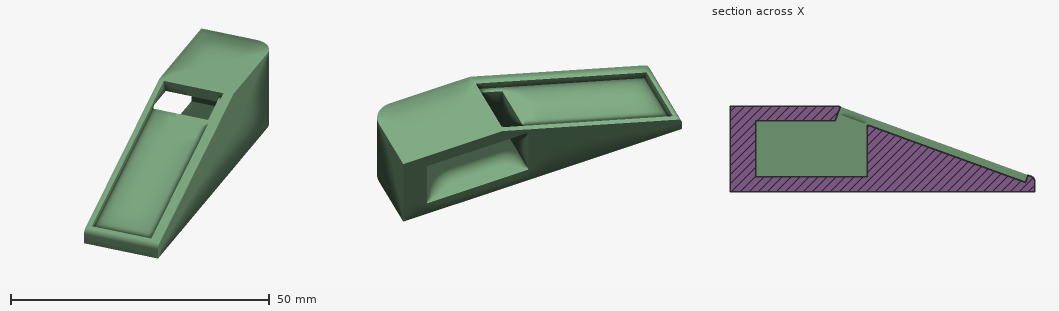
import cadquery as cq
import math

width = 15.5
length = 59.0
height = 16.6
slope_angle = 20.0
slope_top_y = 37.95
nose_radius = 1.3
back_corner_radius = 4.0

pocket_front_y = 32.45
pocket_back_y = 54.0
pocket_bottom_z = 3.0
pocket_top_z = 13.7
pocket_depth = 12.45
pocket_corner_radius = 0.5

recess_left_x = 1.05
recess_right_x = 13.5
recess_depth = 1.5
recess_top_margin = 0.35
recess_length = 38.5

opening_length = 4.7
opening_depth = 3.55

slope = math.radians(slope_angle)
nose_height = height - slope_top_y * math.tan(slope)


def make_body():
    """Extrude the wedge profile, then round its nose and one back corner."""
    body = (
        cq.Workplane("YZ")
        .polyline([(0, 0), (length, 0), (length, height), (slope_top_y, height), (0, nose_height)])
        .close()
        .extrude(width)
    )
    body = body.edges(cq.selectors.NearestToPointSelector((width / 2, 0, nose_height))).fillet(nose_radius)
    return body.edges("|Z and >X and >Y").fillet(back_corner_radius)


def make_side_pocket():
    """Blind pocket with its upper front corner rounded."""
    pocket = cq.Workplane("XY").box(
        pocket_depth,
        pocket_back_y - pocket_front_y,
        pocket_top_z - pocket_bottom_z,
        centered=False,
    )
    pocket = pocket.edges("|X and >Z and <Y").fillet(pocket_corner_radius)
    return pocket.translate((0, pocket_front_y, pocket_bottom_z))


def make_slope_cut(right_x, cut_length, depth):
    """Box sunk square to the slope, starting just below the slope's upper edge."""
    cut = cq.Workplane("XY").box(
        right_x - recess_left_x,
        cut_length,
        2 * depth,
        centered=(False, False, True),
    )
    cut = cut.translate((recess_left_x, -recess_top_margin - cut_length, 0))
    cut = cut.rotate((0, 0, 0), (1, 0, 0), slope_angle)
    return cut.translate((0, slope_top_y, height))


recess = make_slope_cut(recess_right_x, recess_length, recess_depth)
opening = make_slope_cut(pocket_depth, opening_length, opening_depth)

result = make_body().cut(make_side_pocket()).cut(recess).cut(opening)